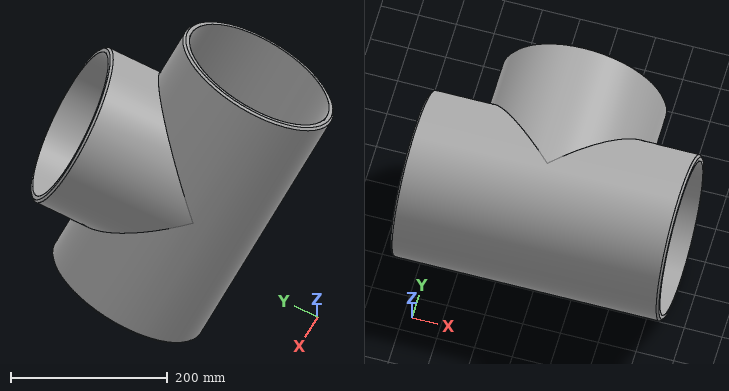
import cadquery as cq

run_length = 355.5
outer_diameter = 219.0
inner_diameter = 202.7
branch_reach = run_length / 2

bevel_size = 3.0


def bevelled_end(plane, length):
    """Solid cylinder from the tee centre to one bevelled pipe end."""
    outer_radius = outer_diameter / 2
    shank = cq.Workplane(plane).circle(outer_radius).extrude(length - bevel_size)
    cone = cq.Solid.makeCone(
        outer_radius,
        outer_radius - bevel_size,
        bevel_size,
        pnt=plane.toWorldCoords((0, 0, length - bevel_size)),
        dir=plane.zDir,
    )
    return shank.union(cq.Workplane(obj=cone))


def bore(plane, length):
    """Cylinder that opens the pipe from the tee centre to one end."""
    return cq.Workplane(plane).circle(inner_diameter / 2).extrude(length)


right_plane = cq.Plane(origin=(0, 0, 0), xDir=(0, 0, 1), normal=(1, 0, 0))
left_plane = cq.Plane(origin=(0, 0, 0), xDir=(0, 0, 1), normal=(-1, 0, 0))
branch_plane = cq.Plane(origin=(0, 0, 0), xDir=(0, 0, 1), normal=(0, 1, 0))
half_run = run_length / 2

result = bevelled_end(right_plane, half_run)
result = result.union(bevelled_end(left_plane, half_run))
result = result.union(bevelled_end(branch_plane, branch_reach))

result = result.cut(bore(right_plane, half_run))
result = result.cut(bore(left_plane, half_run))
result = result.cut(bore(branch_plane, branch_reach))